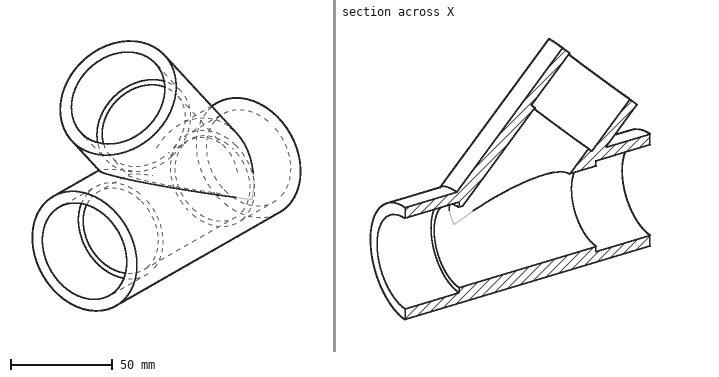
import cadquery as cq

run_length = 144.0
outer_diameter = 62.0
socket_diameter = 50.0
bore_diameter = 44.4
socket_depth = 31.7
branch_length = 100.8
branch_angle = 45.0
junction_to_back = 43.2

back_y = junction_to_back
front_y = back_y - run_length

front_mouth = cq.Plane(origin=(0, front_y, 0), xDir=(1, 0, 0), normal=(0, -1, 0))
back_mouth = cq.Plane(origin=(0, back_y, 0), xDir=(1, 0, 0), normal=(0, 1, 0))
branch_base = cq.Plane.XY().rotated((branch_angle, 0, 0))
branch_mouth = cq.Plane(
    origin=branch_base.toWorldCoords((0, 0, branch_length)),
    xDir=branch_base.xDir,
    normal=branch_base.zDir,
)


def cylinder_inward(mouth, diameter, depth):
    """Solid cylinder reaching from a mouth plane into the fitting."""
    return cq.Workplane(mouth).circle(diameter / 2).extrude(-depth)


body = cylinder_inward(front_mouth, outer_diameter, run_length)
body = body.union(cylinder_inward(branch_mouth, outer_diameter, branch_length))

body = body.cut(cylinder_inward(front_mouth, bore_diameter, run_length))
body = body.cut(cylinder_inward(branch_mouth, bore_diameter, branch_length))

for mouth in (front_mouth, back_mouth, branch_mouth):
    body = body.cut(cylinder_inward(mouth, socket_diameter, socket_depth))

result = body